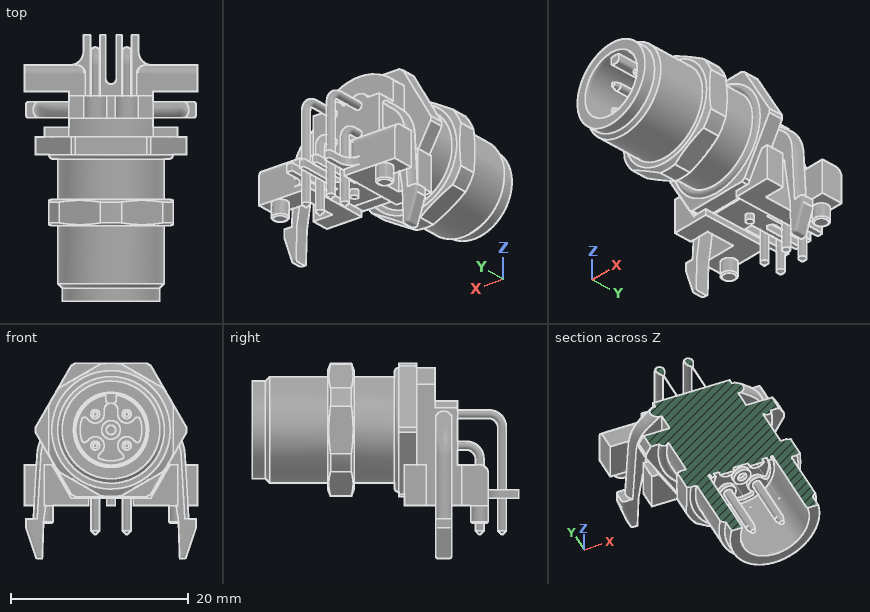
import cadquery as cq
import math


overall_height = 22.0

sleeve_diameter = 12
nose_diameter = 11.0
nose_length = 1.5
bore_diameter = 8.28
bore_mouth_diameter = 8.45
bore_mouth_depth = 0.35
bore_depth = 9

nut_start = 8.5
nut_length = 3
nut_flats = 14.0
nut_corner_diameter = 15
nut_face_diameter = 13.32
nut_chamfer_length = 0.33

flange_front = 16.5
flange_back = 18.5
flange_flats = 15
flange_corner_diameter = 17.0
seal_diameter = 14.0
seal_thickness = (seal_diameter - sleeve_diameter) / 2

body_half_width = 4.75
collar_diameter = 13.98
collar_back = 20.58
body_back = 23.1
body_top = 2.5
pin_sleeve_diameter = 3
foot_top = -3.93
foot_bottom = -8.52
front_foot_half_width = 7.5
front_foot_front = 17.13
front_foot_back = 19.6
flange_pocket_flats = 15.42
arm_half_width = 9.75
arm_front = 23.58
arm_back = 26.58
arm_edge_radius = 1.0
channel_edge_radius = 0.25
channel_half_width = 2.88
channel_mouth_radius = 1.05
underside_half_width = 2.5
post_diameter = 1.0
post_y = 21.6

comb_top = -6.72
comb_bottom = -flange_pocket_flats / 2
comb_back = 30
comb_half_width = 3.12
comb_flare_radius = 1.5
comb_tip_radius = 0.18
pin_slot_width = 1.05
middle_slot_width = 1.17
middle_slot_end = 24.45

peg_diameter = 2.0
peg_x = 7.5
peg_bottom = -10.5
peg_chamfer = 0.18

pin_diameter = 1.0
pin_offset = 1.77
pin_front = 2.0
pin_nose_length = 0.75
pin_nose_diameter = 0.5
pin_bend_radius = 1.5
upper_pin_y = 28.1
lower_pin_y = 25.6
pin_bottom = -11.8
pin_point_length = 0.45
pin_point_diameter = 0.12

insulator_diameter = 7.92
recess_diameter = 6.95
recess_depth = 0.5
recess_corner_radius = 0.3
recess_neck_half_width = 0.75
recess_neck_radius = 0.72
recess_neck_top = 3
pin_pad_width = 2.0
center_boss_diameter = 2.1
center_hole_diameter = 1.05
key_half_width = 0.6
key_bottom = 3
key_corner_radius = 0.35
key_front = 0.6

clip_y = 21.55
clip_thickness = 1.83
bend_center = (3.72, -3.03)
bend_radius = 4.62
root_angle = 50.5
foot_angle = 3.3
spine_bulge = 0.45
root_embed = 0.6
root_x = body_half_width - root_embed
web_root_z = -0.6
web_knee = (6.63, foot_top)
web_foot_x = 7.55
barb_top = -10.02
barb_height = 1.0
barb_reach = 9.57
barb_round = 0.33
tip_outer = 8.4
tip_inner = 7.7
tip_bottom = flange_flats / 2 - overall_height
tip_round = 0.27


def box(x0, x1, y0, y1, z0, z1):
    return cq.Workplane("XY").box(x1 - x0, y1 - y0, z1 - z0, centered=False).translate((x0, y0, z0))


def facing_back(y):
    """Sketch plane at the given Y whose normal is +Y; its local x is -X."""
    return cq.Workplane("XZ", origin=(0, y, 0)).transformed(rotate=(0, 180, 0))


def cylinder_y(diameter, y0, y1, x=0, z=0):
    return facing_back(y0).center(-x, z).circle(diameter / 2).extrude(y1 - y0)


def cylinder_z(diameter, x, y, z0, z1):
    return cq.Workplane("XY", origin=(x, y, z0)).circle(diameter / 2).extrude(z1 - z0)


def hexagon(flats, y0, y1, turn=0):
    prism = facing_back(y0).polygon(6, flats / math.cos(math.pi / 6)).extrude(y1 - y0)
    return prism.rotate((0, 0, 0), (0, 1, 0), turn)


def revolve_about_y(points):
    """Turn a closed (radius, y) outline about the coupling axis."""
    return cq.Workplane("XY").polyline(points).close().revolve(360, (0, 0, 0), (0, 1, 0))


def both_sides(shape):
    return shape.union(shape.mirror("YZ"))


def polar(center, radius, angle):
    turn = math.radians(angle)
    return (center[0] + radius * math.cos(turn), center[1] + radius * math.sin(turn))


def make_sleeve():
    nose_radius = nose_diameter / 2
    radius = sleeve_diameter / 2
    shoulder = nose_length + radius - nose_radius
    return revolve_about_y([
        (0, 0),
        (nose_radius, 0),
        (nose_radius, nose_length),
        (radius, shoulder),
        (radius, flange_back),
        (0, flange_back),
    ])


def make_bore():
    radius = bore_diameter / 2
    return revolve_about_y([
        (0, 0),
        (bore_mouth_diameter / 2, 0),
        (radius, bore_mouth_depth),
        (radius, bore_depth),
        (0, bore_depth),
    ])


def make_nut():
    nut_end = nut_start + nut_length
    face_radius = nut_face_diameter / 2
    corner_radius = nut_corner_diameter / 2
    envelope = revolve_about_y([
        (0, nut_start),
        (face_radius, nut_start),
        (corner_radius, nut_start + nut_chamfer_length),
        (corner_radius, nut_end - nut_chamfer_length),
        (face_radius, nut_end),
        (0, nut_end),
    ])
    return hexagon(nut_flats, nut_start, nut_end, 30).intersect(envelope)


def make_flange():
    rim = cylinder_y(flange_corner_diameter, flange_front, flange_back)
    seal_radius = (seal_diameter - seal_thickness) / 2
    seal = (
        cq.Workplane("XY")
        .center(seal_radius, flange_front)
        .circle(seal_thickness / 2)
        .revolve(360, (-seal_radius, 0), (-seal_radius, 1))
    )
    return hexagon(flange_flats, flange_front, flange_back).intersect(rim).union(seal)


def make_comb():
    """Plate with slots that hold the solder tails in line."""
    half = comb_half_width
    flare = comb_flare_radius
    plate = (
        cq.Workplane("XY", origin=(0, 0, comb_bottom))
        .moveTo(-half - flare, body_back)
        .lineTo(half + flare, body_back)
        .lineTo(half + flare, arm_back)
        .radiusArc((half, arm_back + flare), flare)
        .lineTo(half, comb_back)
        .lineTo(-half, comb_back)
        .lineTo(-half, arm_back + flare)
        .radiusArc((-half - flare, arm_back), flare)
        .close()
        .extrude(comb_top - comb_bottom)
    )

    middle_round_y = middle_slot_end + middle_slot_width / 2
    middle_slot_half = middle_slot_width / 2
    plate = plate.cut(
        box(-middle_slot_half, middle_slot_half, middle_round_y, comb_back, comb_bottom, comb_top)
    )
    plate = plate.cut(cylinder_z(middle_slot_width, 0, middle_round_y, comb_bottom, comb_top))
    for x in (-pin_offset, pin_offset):
        slot_start = x - pin_slot_width / 2
        slot_end = x + pin_slot_width / 2
        plate = plate.cut(box(slot_start, slot_end, body_back, comb_back, comb_bottom, comb_top))
    return plate.faces(">Y").edges("|Z").fillet(comb_tip_radius)


def make_arm():
    """Right-hand rear foot and its link to the body, rounded at the rear and along the pin channel."""
    arm = box(channel_half_width, arm_half_width, arm_front, arm_back, foot_bottom, foot_top)
    link = box(channel_half_width, body_half_width, body_back, arm_front, foot_bottom, foot_top)
    arm = arm.union(link).edges("|Z and >Y and <X").fillet(channel_mouth_radius)
    arm = arm.faces(">Z").edges("<X").fillet(channel_edge_radius)
    rounding = (
        box(0, arm_half_width, body_back, arm_back, foot_bottom, foot_top)
        .edges("|X and >Y and >Z")
        .fillet(arm_edge_radius)
    )
    return arm.intersect(rounding)


def make_housing():
    """Block behind the flange with a rounded collar and a sleeve around each upper pin."""
    collar = cylinder_y(collar_diameter, flange_back, collar_back).intersect(
        box(-body_half_width, body_half_width, flange_back, collar_back, -collar_diameter, collar_diameter)
    )
    body = collar.union(
        box(-body_half_width, body_half_width, flange_back, body_back, foot_bottom, body_top)
    )
    for x in (-pin_offset, pin_offset):
        body = body.union(cylinder_y(pin_sleeve_diameter, collar_back, body_back, x, pin_offset))
    return body


def make_front_foot():
    """Foot that cradles the lower half of the flange."""
    half = front_foot_half_width
    foot = box(-half, half, front_foot_front, front_foot_back, foot_bottom, foot_top)
    return foot.cut(hexagon(flange_pocket_flats, front_foot_front, flange_back))


def make_rear_feet():
    sill = box(underside_half_width, body_half_width, body_back, arm_back, foot_bottom, comb_bottom)
    peg = cylinder_z(peg_diameter, peg_x, arm_back - peg_diameter / 2, peg_bottom, foot_bottom)
    peg = peg.faces("<Z").chamfer(peg_chamfer)
    return both_sides(make_arm().union(sill).union(peg))


def make_body():
    """Insulator with a channel along its underside and a short post in that channel."""
    half = underside_half_width
    channel = box(-half, half, front_foot_front, arm_back, foot_bottom, comb_bottom)
    post = cylinder_z(post_diameter, 0, post_y, foot_bottom, comb_bottom)
    body = make_housing().union(make_front_foot()).cut(channel)
    return body.union(make_rear_feet()).union(make_comb()).union(post)


def make_recess():
    """Shallow pocket in the insulator face, with pads at the pins and centre, and a gap around its rim."""
    back = bore_depth + recess_depth
    corner_angle = 45 - math.degrees(math.asin(pin_pad_width / recess_diameter))
    radius = recess_diameter / 2
    recess = cylinder_y(recess_diameter, bore_depth, back)
    land = box(recess_neck_half_width, radius, bore_depth, back, pin_offset, radius)
    recess = recess.cut(both_sides(land))
    recess = recess.cut(box(-radius, radius, bore_depth, back, recess_neck_top, radius))
    recess = recess.edges("|Y and >Z").fillet(recess_neck_radius)

    pin_radius = pin_offset * math.sqrt(2)
    pad = cylinder_y(pin_pad_width, bore_depth, back, pin_radius).union(
        box(pin_radius, 2 * radius, bore_depth, back, -pin_pad_width / 2, pin_pad_width / 2)
    )
    for turn in (45, 135, 225, 315):
        recess = recess.cut(pad.rotate((0, 0, 0), (0, 1, 0), turn))

    for lobe in (0, 180, 270):
        for side in (-1, 1):
            x, z = polar((0, 0), radius, lobe + side * corner_angle)
            near = cq.selectors.BoxSelector((x - 0.3, bore_depth - 0.3, z - 0.3), (x + 0.3, back + 0.3, z + 0.3))
            recess = recess.edges("|Y").edges(near).fillet(recess_corner_radius)

    rim_gap = cylinder_y(bore_diameter, bore_depth, back)
    rim_gap = rim_gap.cut(cylinder_y(insulator_diameter, bore_depth, back))
    recess = recess.cut(cylinder_y(center_boss_diameter, bore_depth, back))
    return recess.union(cylinder_y(center_hole_diameter, bore_depth, back)).union(rim_gap)


def make_key():
    key = box(-key_half_width, key_half_width, key_front, bore_depth, key_bottom, bore_mouth_diameter / 2)
    return key.edges("|Y and <Z").fillet(key_corner_radius)


def make_pin(x, z, tail_y):
    """Contact that runs back along Y, bends and drops to the board."""
    radius = pin_diameter / 2
    corner = pin_bend_radius * (1 - math.sqrt(0.5))
    path = (
        cq.Workplane("YZ", origin=(x, 0, 0))
        .moveTo(pin_front + pin_nose_length, z)
        .lineTo(tail_y - pin_bend_radius, z)
        .threePointArc((tail_y - corner, z - corner), (tail_y, z - pin_bend_radius))
        .lineTo(tail_y, pin_bottom + pin_point_length)
    )
    shaft = facing_back(pin_front + pin_nose_length).center(-x, z).circle(radius).sweep(path)
    nose = cq.Solid.makeCone(
        pin_nose_diameter / 2, radius, pin_nose_length, cq.Vector(x, pin_front, z), cq.Vector(0, 1, 0)
    )
    point = cq.Solid.makeCone(
        pin_point_diameter / 2, radius, pin_point_length, cq.Vector(x, tail_y, pin_bottom), cq.Vector(0, 0, 1)
    )
    return shaft.union(cq.Workplane(nose)).union(cq.Workplane(point))


def make_clip_leg():
    """Curved web with a bulging spine along its outer edge."""
    radius = bend_radius - spine_bulge
    bend_start = polar(bend_center, radius, root_angle)
    bend_middle = polar(bend_center, radius, (root_angle + foot_angle) / 2)
    bend_end = polar(bend_center, radius, foot_angle)
    root_slope = math.tan(math.radians(90 - root_angle))
    foot_lean = math.tan(math.radians(foot_angle))
    root = (root_x, bend_start[1] + (bend_start[0] - root_x) * root_slope)
    foot = (bend_end[0] + (bend_end[1] - barb_top) * foot_lean, barb_top)

    def spine_edge():
        start = cq.Workplane("XZ", origin=(0, clip_y, 0)).moveTo(*foot)
        return start.lineTo(*bend_end).threePointArc(bend_middle, bend_start).lineTo(*root)

    web = (
        spine_edge()
        .lineTo(root_x, web_root_z)
        .lineTo(*web_knee)
        .lineTo(web_foot_x, barb_top)
        .close()
        .extrude(clip_thickness / 2, both=True)
    )
    half = clip_thickness / 2
    across_foot = cq.Plane(origin=(foot[0], clip_y, foot[1]), xDir=(0, 1, 0), normal=(-foot_lean, 0, 1))
    spine = (
        cq.Workplane(across_foot)
        .moveTo(-half, 0)
        .threePointArc((0, -spine_bulge), (half, 0))
        .close()
        .sweep(spine_edge())
    )
    return web.union(spine)


def make_clip_barb():
    """Hooked tip of the clip, rounded along its outer edges."""
    barb = (
        cq.Workplane("XZ", origin=(0, clip_y, 0))
        .moveTo(web_foot_x, barb_top)
        .lineTo(barb_reach, barb_top)
        .lineTo(barb_reach, barb_top - barb_height)
        .lineTo(tip_outer, tip_bottom)
        .lineTo(tip_inner, tip_bottom)
        .close()
        .extrude(clip_thickness / 2, both=True)
    )
    barb = barb.edges("|Y and <Z").edges(">X").fillet(tip_round)
    outer_side = cq.selectors.BoxSelector(
        (tip_outer + 0.3, 0, tip_bottom), (barb_reach + 0.3, comb_back, barb_top - barb_round)
    )
    return barb.edges("not |Y").edges(outer_side).fillet(barb_round)


clip = make_clip_leg().union(make_clip_barb())
insulator_and_shell = (
    make_sleeve().union(make_flange()).union(make_nut()).cut(make_bore()).cut(make_recess())
)
result = insulator_and_shell.union(make_body()).union(make_key()).union(both_sides(clip))
for x in (-pin_offset, pin_offset):
    result = result.union(make_pin(x, pin_offset, upper_pin_y))
    result = result.union(make_pin(x, -pin_offset, lower_pin_y))